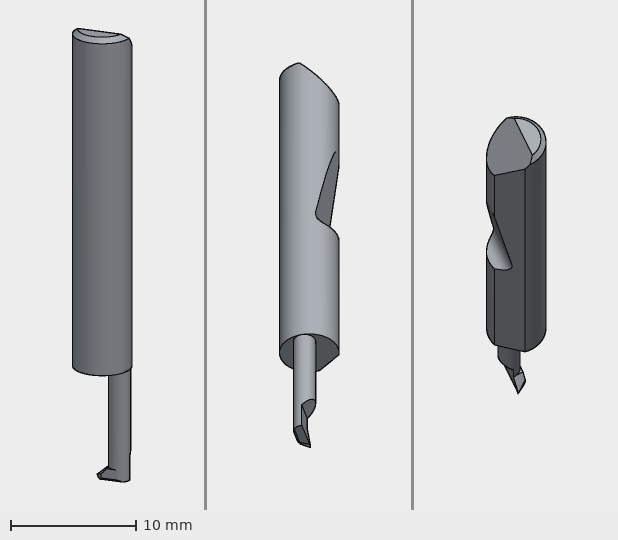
import cadquery as cq
import math

length = 38.1
shank_diameter = 4.75
shank_radius = shank_diameter / 2
shank_bottom = 9.52
shank_height = length - shank_bottom
shank_chamfer = 0.42

flat_distance = 2.02
flat_angle = 142.5

bevel_start_y = -0.6

notch_top = 29.8
notch_bottom = 21.07
notch_tilt = math.radians(9.7)
notch_corner_radius = 0.9

neck_diameter = 1.8
neck_radius = neck_diameter / 2
neck_x = shank_radius - neck_radius
neck_bottom = 0.15
relief_bottom = 2.25

hook_top = 1.2
nose_x = -0.35
nose_width = 0.2
hook_end_x = -0.45
hook_end_z = 0.25
hook_root_x = 0.6
heel_end_x = 0.25
heel_end_z = 0.7
heel_root_x = 0.72
heel_bevel = 0.2


def prism_across_x(points):
    """Prism along X, wider than the bar, from (y, z) points."""
    return cq.Workplane("YZ").polyline(points).close().extrude(shank_radius, both=True)


def make_shank():
    shank = (
        cq.Workplane("XY")
        .workplane(offset=shank_bottom)
        .circle(shank_radius)
        .extrude(shank_height)
        .faces(">Z")
        .chamfer(shank_chamfer)
    )
    flat_cutter = (
        cq.Workplane("XY")
        .box(shank_radius, 2 * shank_radius, shank_height, centered=(False, True, False))
        .translate((flat_distance, 0, shank_bottom))
        .rotate((0, 0, 0), (0, 0, 1), flat_angle)
    )
    bevel_rise = shank_radius - bevel_start_y
    bevel_cutter = prism_across_x([
        (bevel_start_y, length),
        (shank_radius, length - bevel_rise),
        (shank_radius, length),
    ])
    return shank.cut(flat_cutter).cut(bevel_cutter).cut(make_notch())


def make_notch():
    ramp_length = (notch_top - notch_bottom) * math.cos(notch_tilt)
    corner_y = shank_radius - ramp_length * math.sin(notch_tilt)
    corner_z = notch_top - ramp_length * math.cos(notch_tilt)
    notch = prism_across_x([
        (shank_radius, notch_top),
        (corner_y, corner_z),
        (shank_radius, notch_bottom),
    ])
    return notch.edges("<Y").fillet(notch_corner_radius)


def make_neck():
    neck = (
        cq.Workplane("XY")
        .workplane(offset=neck_bottom)
        .center(neck_x, 0)
        .circle(neck_radius)
        .extrude(shank_bottom - neck_bottom)
    )
    relief = prism_across_x([
        (0, neck_bottom),
        (0, relief_bottom),
        (neck_radius, relief_bottom + neck_radius),
        (neck_radius, neck_bottom),
    ])
    return neck.cut(relief)


def make_hook():
    cutting_face = [
        (neck_x, neck_bottom),
        (nose_x + nose_width, neck_bottom),
        (nose_x, 0),
        (hook_end_x, hook_end_z),
        (hook_root_x, hook_top),
        (neck_x, hook_top),
    ]
    heel_face = [
        (neck_x, neck_bottom),
        (heel_end_x + nose_width, neck_bottom),
        (heel_end_x, neck_bottom),
        (heel_end_x, heel_end_z),
        (heel_root_x, hook_top),
        (neck_x, hook_top),
    ]
    return (
        cq.Workplane("XZ")
        .polyline(cutting_face)
        .close()
        .workplane(offset=neck_radius)
        .polyline(heel_face)
        .close()
        .loft(ruled=True)
    )


heel_bevel_cutter = prism_across_x([
    (-neck_radius, 0),
    (-neck_radius, neck_bottom + heel_bevel),
    (-neck_radius + heel_bevel, neck_bottom),
    (-neck_radius + heel_bevel, 0),
])

tip = make_neck().union(make_hook()).cut(heel_bevel_cutter)
result = make_shank().union(tip)